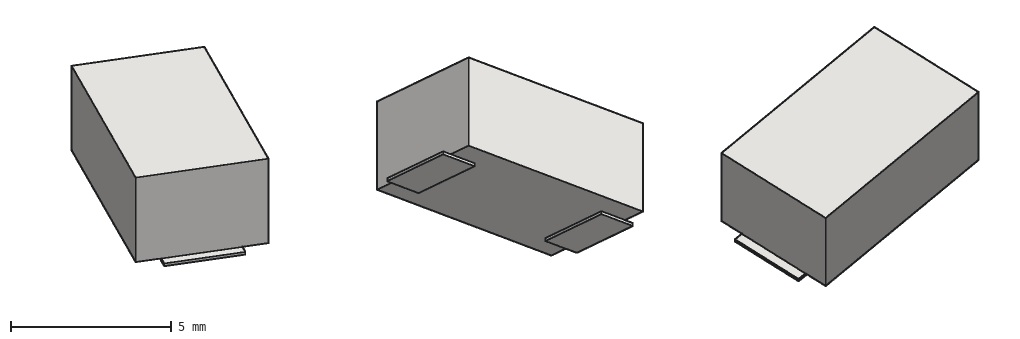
import cadquery as cq

overall_length = 7.92
overall_height = 3.15

terminal_length = 1.315
terminal_width = 2.64
terminal_thickness = 0.1

body_length = 7.28
body_width = 4.32
body_height = overall_height - terminal_thickness


def make_body():
    """Block whose underside lies on the top faces of the terminals."""
    return (
        cq.Workplane("XY")
        .workplane(offset=terminal_thickness)
        .rect(body_length, body_width)
        .extrude(body_height)
    )


def make_terminal(side):
    """Strip whose outer edge reaches the overall length; side is -1 or +1 along X."""
    center_x = side * (overall_length - terminal_length) / 2
    return (
        cq.Workplane("XY")
        .center(center_x, 0)
        .rect(terminal_length, terminal_width)
        .extrude(terminal_thickness)
    )


body = make_body()
terminals = [make_terminal(side) for side in (-1, 1)]

result = cq.Compound.makeCompound([body.val(), *[terminal.val() for terminal in terminals]])